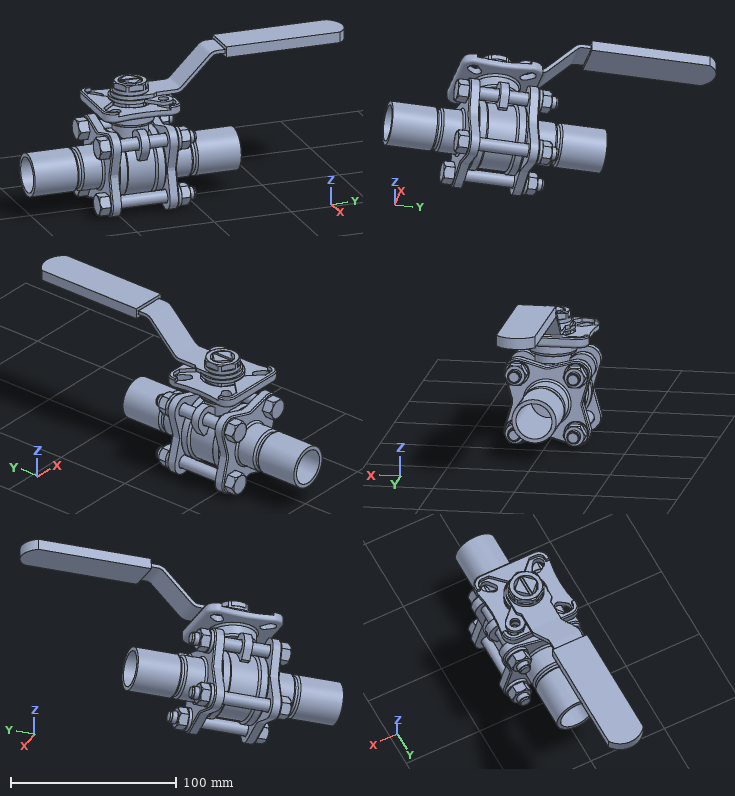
import cadquery as cq
import math


overall_width = 53.0
overall_length = 204.3
overall_height = 96.8

pipe_diameter = 27.2
pipe_bore = 22.0
pipe_end_y = 66.8
groove_diameter = 24.5
groove_outer_y = 39.0
groove_inner_y = 35.0
groove_taper = 1.2
hub_flare = 1.2

flange_inner_y = 15.7
flange_thickness = 6.1
flange_outer_y = flange_inner_y + flange_thickness
flange_half = overall_width / 2
flange_waist = 21.9
flange_waist_half = 0.92
flange_chamfer = 0.8

core_diameter = 40.2
core_ring_diameter = 43.5
core_ring_outer_y = 14.5
core_ring_inner_y = 10.0
core_ring_taper = 1.2

bolt_spacing = 18.2
bolt_diameter = 8.0
bolt_hole = 8.5
bolt_end_y = 33.3
bolt_tip_diameter = 6.5
bolt_tip_length = 1.2
hex_corner_diameter = 14.0
head_height = 6.7
nut_height = 6.1
hex_chamfer = 1.0
bolt_washer_diameter = 14.7
bolt_washer_thickness = 2.0
lobe_radius = flange_half - bolt_spacing

ear_half_width = 2.7
ear_foot_z = 8.0
ear_flank_angle = 33.7

neck_diameter = 22.0
neck_flare_height = 1.0
neck_flare_width = 0.6
collar_diameter = 29.0
collar_bottom_z = 27.0
collar_chamfer_height = 1.5
collar_chamfer_width = 0.6
collar_top_z = 34.1
collar_flare = 1.0

plate_bottom_z = 35.5
plate_top_z = 42.0
plate_floor_z = 39.6
plate_width = 50.5
plate_corner_radius = 7.0
plate_waist = 23.3
plate_bottom_fillet = 1.8
plate_top_chamfer = 0.8
rim_width = 2.9
wedge_offset = 8.5
counterbore_diameter = 27.0
counterbore_floor_z = 38.0
slot_outer_place = 17.8
slot_outer_radius = 3.5
slot_inner_place = 15.0
slot_inner_radius = 2.9

hex_flats = 20.0
hex_round_diameter = 22.0

stem_top_z = 53.1
stem_diameter = 14.0
stem_flats = 11.0
stem_slot_width = 1.6
stem_slot_depth = 1.2

lock_diameter = 27.0
lock_bottom_z = 41.7
lock_tab_place = 15.5
lock_tab_radius = 6.0
lock_tab_hole = 6.1

lever_bottom_z = 44.0
lever_thickness = 2.5
lever_width = 19.8
lever_head_diameter = 24.5
lever_head_half_width = 12.0
lever_nose_half_width = 1.95
lever_shoulder_low_y = 10.6
lever_shoulder_high_y = 13.3
lever_bend_y = 27.8
lever_bend_radius = 5.0
lever_end_y = 129.1

grip_start_y = 57.6
grip_end_y = overall_length - pipe_end_y
grip_top_z = overall_height - flange_half
grip_side_end_y = 131.2
grip_half_width = 11.8
grip_wall = 2.2

stem_nut_bore = 14.7
stem_nut_collar_height = 2.5
stem_nut_top_z = 52.7
stem_nut_chamfer_height = 0.6

plate_half = plate_width / 2
plate_corner_place = plate_half - plate_corner_radius
waist_gap = plate_waist - plate_corner_place
hollow_radius = (waist_gap ** 2 + plate_corner_place ** 2 - plate_corner_radius ** 2) / (
    2 * (plate_corner_radius - waist_gap)
)
hollow_place = plate_waist + hollow_radius
rim_end_y = plate_corner_place * hollow_radius / (hollow_radius + plate_corner_radius)

lever_top_z = lever_bottom_z + lever_thickness
lever_upper_z = grip_top_z - grip_wall
lever_rise = lever_upper_z - lever_top_z
lever_half_width = lever_width / 2


def cylinder_z(diameter, bottom, top):
    return cq.Workplane("XY").workplane(offset=bottom).circle(diameter / 2).extrude(top - bottom)


def cylinder_y(diameter, start, end):
    """Cylinder along Y from start to end, both measured in +Y."""
    return cq.Workplane("XZ", origin=(0, start, 0)).circle(diameter / 2).extrude(start - end)


def turned_y(points):
    """Solid of revolution about Y from (radius, y) points."""
    return cq.Workplane("XY").polyline(points).close().revolve(360, (0, 0, 0), (0, 1, 0))


def turned_z(points):
    """Solid of revolution about Z from (radius, z) points."""
    return cq.Workplane("XZ").polyline(points).close().revolve(360, (0, 0, 0), (0, 1, 0))


def quarter_turned(point, quarter):
    """Point turned about the origin by a number of quarter turns."""
    x, y = point
    for _ in range(quarter):
        x, y = -y, x
    return (x, y)


def lobed_outline(sketch, centre, radius, waist, waist_half):
    """Closed outline of four corner arcs joined by sides drawn in to a waist.

    Each side has a short flat at the waist and runs straight from it to touch the corner arcs.
    """
    along = centre - waist_half
    across = waist - centre
    lean = math.asin(radius / math.hypot(across, along)) - math.atan2(across, along)

    def arc_point(angle):
        return (centre + radius * math.cos(angle), centre + radius * math.sin(angle))

    arc_start = arc_point(-lean)
    arc_middle = arc_point(math.pi / 4)
    arc_end = arc_point(math.pi / 2 + lean)
    sketch = sketch.moveTo(waist, -waist_half)
    for quarter in range(4):
        sketch = sketch.lineTo(*quarter_turned((waist, waist_half), quarter))
        sketch = sketch.lineTo(*quarter_turned(arc_start, quarter))
        sketch = sketch.threePointArc(quarter_turned(arc_middle, quarter), quarter_turned(arc_end, quarter))
        if quarter < 3:
            sketch = sketch.lineTo(*quarter_turned((waist_half, waist), quarter))
    return sketch.close()


def flatted_hex(bottom, top):
    """Round blank along Z with six flats, two of them facing +X and -X."""
    blank = cylinder_z(hex_round_diameter, bottom, top)
    corner_diameter = hex_flats / math.cos(math.pi / 6)
    prism = cq.Workplane("XY").workplane(offset=bottom).polygon(6, corner_diameter).extrude(top - bottom)
    return blank.intersect(prism.rotate((0, 0, 0), (0, 0, 1), 30))


def stem_bar(bottom, top):
    """Stem along Z: a square bar with its corners turned round, facing the diagonals."""
    square = cq.Workplane("XY").workplane(offset=bottom).rect(stem_flats, stem_flats).extrude(top - bottom)
    return square.rotate((0, 0, 0), (0, 0, 1), 45).intersect(cylinder_z(stem_diameter, bottom, top))


def pipe_run():
    """Pipe end on the -Y side, with its groove and the flare where it meets the flange."""
    outer = pipe_diameter / 2
    groove = groove_diameter / 2
    points = [
        (0, -flange_inner_y),
        (outer + hub_flare, -flange_inner_y),
        (outer + hub_flare, -flange_outer_y),
        (outer, -flange_outer_y - hub_flare),
        (outer, -groove_inner_y),
        (groove, -groove_inner_y - groove_taper),
        (groove, -groove_outer_y + groove_taper),
        (outer, -groove_outer_y),
        (outer, -pipe_end_y),
        (0, -pipe_end_y),
    ]
    return turned_y(points)


def flange_plate():
    """Four-lobed flange on the -Y side with its bolt holes."""
    outline = lobed_outline(
        cq.Workplane("XZ", origin=(0, -flange_inner_y, 0)),
        bolt_spacing,
        lobe_radius,
        flange_waist,
        flange_waist_half,
    )
    plate = outline.extrude(flange_thickness)
    plate = plate.faces("<Y").chamfer(flange_chamfer)
    return plate.cut(
        cq.Workplane("XZ", origin=(0, -flange_inner_y, 0))
        .rect(2 * bolt_spacing, 2 * bolt_spacing, forConstruction=True)
        .vertices()
        .circle(bolt_hole / 2)
        .extrude(flange_thickness)
    )


def end_piece():
    return flange_plate().union(pipe_run()).cut(cylinder_y(pipe_bore, -pipe_end_y, -flange_inner_y))


def core():
    """Middle of the body between the flanges, with a raised ring near each end."""
    core_radius = core_diameter / 2
    ring_radius = core_ring_diameter / 2
    half = [
        (core_radius, core_ring_inner_y - core_ring_taper),
        (ring_radius, core_ring_inner_y),
        (ring_radius, core_ring_outer_y),
        (core_radius, core_ring_outer_y),
        (core_radius, flange_inner_y),
    ]
    other_half = [(radius, -y) for radius, y in reversed(half)]
    return turned_y([(0, -flange_inner_y)] + other_half + half + [(0, flange_inner_y)])


def ear():
    """Ear round the upper bolt on the +X side, with a flank down to the core and one up to the neck."""
    angle = math.radians(ear_flank_angle)
    leave_x = bolt_spacing + lobe_radius * math.cos(angle)
    leave_z = bolt_spacing - lobe_radius * math.sin(angle)
    foot_x = leave_x - (leave_z - ear_foot_z) * math.tan(angle)
    web = cq.Workplane("XZ", origin=(0, ear_half_width, 0)).polyline([
        (bolt_spacing, bolt_spacing),
        (leave_x, leave_z),
        (foot_x, ear_foot_z),
        (ear_foot_z, ear_foot_z),
        (ear_foot_z, foot_x),
        (leave_z, leave_x),
    ]).close().extrude(2 * ear_half_width)
    lobe = cylinder_y(2 * lobe_radius, -ear_half_width, ear_half_width)
    hole = cylinder_y(bolt_hole, -ear_half_width, ear_half_width)
    offset = (bolt_spacing, 0, bolt_spacing)
    return web.union(lobe.translate(offset)).cut(hole.translate(offset))


def hex_block(start, end, chamfered_end):
    """Hexagon along Y with corners at +X and -X and a turned chamfer at one end."""
    inner_end = start + end - chamfered_end
    step = math.copysign(hex_chamfer, inner_end - chamfered_end)
    radius = hex_corner_diameter / 2
    prism = cq.Workplane("XZ", origin=(0, start, 0)).polygon(6, hex_corner_diameter).extrude(start - end)
    turned = turned_y([
        (0, chamfered_end),
        (radius - hex_chamfer, chamfered_end),
        (radius, chamfered_end + step),
        (radius, inner_end),
        (0, inner_end),
    ])
    return prism.intersect(turned)


def bolt():
    """Bolt along Y with its head on the -Y side and its washer and nut on the +Y side."""
    washer_end = flange_outer_y + bolt_washer_thickness
    head = hex_block(-flange_outer_y - head_height, -flange_outer_y, -flange_outer_y - head_height)
    shank = cylinder_y(bolt_diameter, -flange_outer_y, bolt_end_y)
    tip = cylinder_y(bolt_tip_diameter, bolt_end_y, bolt_end_y + bolt_tip_length)
    washer = cylinder_y(bolt_washer_diameter, flange_outer_y, washer_end)
    nut = hex_block(washer_end, washer_end + nut_height, washer_end + nut_height)
    return head.union(shank).union(tip).union(washer).union(nut)


def bonnet():
    """Neck and collar that carry the mounting plate."""
    neck = neck_diameter / 2
    collar = collar_diameter / 2
    return turned_z([
        (0, 0),
        (neck, 0),
        (neck, collar_bottom_z - neck_flare_height),
        (neck + neck_flare_width, collar_bottom_z),
        (collar - collar_chamfer_width, collar_bottom_z),
        (collar, collar_bottom_z + collar_chamfer_height),
        (collar, collar_top_z),
        (collar + collar_flare, plate_bottom_z),
        (0, plate_bottom_z),
    ])


def corner_slot():
    """Mounting slot on the +X +Y diagonal, wider at its outer end."""
    outer = slot_outer_place * math.sqrt(2)
    inner = slot_inner_place * math.sqrt(2)
    angle = math.acos((slot_inner_radius - slot_outer_radius) / (outer - inner))
    outer_touch = (outer + slot_outer_radius * math.cos(angle), slot_outer_radius * math.sin(angle))
    inner_touch = (inner + slot_inner_radius * math.cos(angle), slot_inner_radius * math.sin(angle))
    slot = (
        cq.Workplane("XY", origin=(0, 0, plate_bottom_z))
        .moveTo(*outer_touch)
        .threePointArc((outer + slot_outer_radius, 0), (outer_touch[0], -outer_touch[1]))
        .lineTo(inner_touch[0], -inner_touch[1])
        .threePointArc((inner - slot_inner_radius, 0), inner_touch)
        .close()
        .extrude(plate_top_z - plate_bottom_z)
    )
    return slot.rotate((0, 0, 0), (0, 0, 1), 45)


def plate_recess():
    """Shallow recess in the top of the plate, open at the sides, between two wedges left at full height."""
    depth = plate_top_z - plate_floor_z
    floor = cq.Workplane("XY", origin=(0, 0, plate_floor_z))
    rim_inside = plate_half - rim_width
    inside = floor.rect(2 * rim_inside, 2 * rim_inside).extrude(depth)
    inside = inside.edges("|Z").fillet(plate_corner_radius - rim_width)
    through = floor.rect(2 * plate_half, 2 * rim_end_y).extrude(depth)
    between_wedges = floor.polyline([
        (0, wedge_offset),
        (plate_half, plate_half + wedge_offset),
        (plate_half, -plate_half - wedge_offset),
        (0, -wedge_offset),
        (-plate_half, -plate_half - wedge_offset),
        (-plate_half, plate_half + wedge_offset),
    ]).close().extrude(depth)
    return inside.union(through).intersect(between_wedges)


def mounting_plate():
    height = plate_top_z - plate_bottom_z
    level = cq.Workplane("XY", origin=(0, 0, plate_bottom_z))
    plate = level.rect(2 * plate_half, 2 * plate_half).extrude(height)
    plate = plate.edges("|Z").fillet(plate_corner_radius)
    for side in (-1, 1):
        plate = plate.cut(level.center(side * hollow_place, 0).circle(hollow_radius).extrude(height))
    plate = plate.faces("<Z").edges().fillet(plate_bottom_fillet)
    plate = plate.faces(">Z").edges().chamfer(plate_top_chamfer)
    plate = plate.cut(plate_recess())
    plate = plate.cut(cylinder_z(counterbore_diameter, counterbore_floor_z, plate_top_z))
    slot = corner_slot()
    for quarter in range(4):
        plate = plate.cut(slot.rotate((0, 0, 0), (0, 0, 1), 90 * quarter))
    return plate


def stem():
    """Stem standing out of the plate, with a screwdriver slot in its end."""
    slot = (
        cq.Workplane("XY", origin=(0, 0, stem_top_z - stem_slot_depth))
        .rect(stem_slot_width, stem_diameter)
        .extrude(stem_slot_depth)
    )
    return stem_bar(counterbore_floor_z, stem_top_z).cut(slot)


def valve_body():
    end = end_piece()
    upper_ear = ear()
    shape = core().union(end).union(end.mirror("XZ"))
    shape = shape.union(bonnet()).union(mounting_plate())
    shape = shape.union(upper_ear).union(upper_ear.mirror("YZ"))
    bolt_axes = [(x, z) for x in (-bolt_spacing, bolt_spacing) for z in (-bolt_spacing, bolt_spacing)]
    clearance = cylinder_y(bolt_hole, -flange_inner_y, flange_inner_y)
    for x, z in bolt_axes:
        shape = shape.cut(clearance.translate((x, 0, z)))
    for x, z in bolt_axes:
        shape = shape.union(bolt().translate((x, 0, z)))
    packing_nut = flatted_hex(counterbore_floor_z, lock_bottom_z)
    return shape.union(packing_nut).union(stem())


def lock_plate():
    thickness = lever_bottom_z - lock_bottom_z
    level = cq.Workplane("XY", origin=(0, 0, lock_bottom_z))
    reach = lock_tab_place * math.sqrt(2)
    tab = level.center(reach / 2, 0).rect(reach, 2 * lock_tab_radius).extrude(thickness)
    tab_end = level.center(reach, 0).circle(lock_tab_radius).extrude(thickness)
    hole = level.center(reach, 0).circle(lock_tab_hole / 2).extrude(thickness)
    tab = tab.union(tab_end).cut(hole).rotate((0, 0, 0), (0, 0, 1), 45)
    washer = cylinder_z(lock_diameter, lock_bottom_z, lever_bottom_z)
    return washer.union(tab).cut(stem_bar(lock_bottom_z, lever_bottom_z))


def lever():
    """Cranked side profile, trimmed to the plan outline of the head and the handle."""
    inner = lever_bend_radius
    outer = lever_bend_radius + lever_thickness
    shift = lever_thickness * math.tan(math.pi / 8)
    upper_bend_y = lever_bend_y + lever_rise
    head_radius = lever_head_diameter / 2
    nose_y = -math.sqrt(head_radius ** 2 - lever_nose_half_width ** 2)
    strip = cq.Workplane("YZ", origin=(-head_radius, 0, 0)).polyline([
        (nose_y, lever_bottom_z),
        (lever_bend_y + shift, lever_bottom_z),
        (upper_bend_y + shift, lever_upper_z - lever_thickness),
        (lever_end_y, lever_upper_z - lever_thickness),
        (lever_end_y, lever_upper_z),
        (upper_bend_y, lever_upper_z),
        (lever_bend_y, lever_top_z),
        (nose_y, lever_top_z),
    ]).close().extrude(lever_head_diameter)

    def bend(shape, y, z, radius):
        return shape.edges(cq.selectors.NearestToPointSelector((0, y, z))).fillet(radius)

    strip = bend(strip, lever_bend_y, lever_top_z, inner)
    strip = bend(strip, lever_bend_y + shift, lever_bottom_z, outer)
    strip = bend(strip, upper_bend_y + shift, lever_upper_z - lever_thickness, inner)
    strip = bend(strip, upper_bend_y, lever_upper_z, outer)

    height = lever_upper_z - lever_bottom_z
    straight_end_y = -math.sqrt(head_radius ** 2 - lever_head_half_width ** 2)
    arc_middle = head_radius / math.sqrt(2)
    plan = (
        cq.Workplane("XY", origin=(0, 0, lever_bottom_z))
        .moveTo(lever_half_width, lever_end_y)
        .lineTo(lever_half_width, lever_shoulder_high_y)
        .lineTo(lever_head_half_width, lever_shoulder_low_y)
        .lineTo(lever_head_half_width, straight_end_y)
        .threePointArc((arc_middle, -arc_middle), (lever_nose_half_width, nose_y))
        .lineTo(-lever_nose_half_width, nose_y)
        .threePointArc((-arc_middle, -arc_middle), (-lever_head_half_width, straight_end_y))
        .lineTo(-lever_head_half_width, lever_shoulder_low_y)
        .lineTo(-lever_half_width, lever_shoulder_high_y)
        .lineTo(-lever_half_width, lever_end_y)
        .close()
        .extrude(height)
    )
    return strip.intersect(plan).cut(stem_bar(lever_bottom_z, lever_top_z))


def grip():
    height = lever_thickness + 2 * grip_wall
    sleeve = (
        cq.Workplane("XY", origin=(0, 0, grip_top_z - height))
        .moveTo(-grip_half_width, grip_start_y)
        .lineTo(grip_half_width, grip_start_y)
        .lineTo(grip_half_width, grip_side_end_y)
        .threePointArc((0, grip_end_y), (-grip_half_width, grip_side_end_y))
        .close()
        .extrude(height)
    )
    pocket = cq.Workplane("XY").box(
        2 * lever_half_width, lever_end_y - grip_start_y, lever_thickness, centered=(True, False, False)
    )
    return sleeve.cut(pocket.translate((0, grip_start_y, lever_upper_z - lever_thickness)))


def stem_nut():
    collar_top = lever_top_z + stem_nut_collar_height
    collar = cylinder_z(hex_round_diameter, lever_top_z, collar_top)
    rim = hex_round_diameter / 2
    crown = turned_z([
        (0, collar_top),
        (rim, collar_top),
        (rim, stem_nut_top_z - stem_nut_chamfer_height),
        (hex_flats / 2, stem_nut_top_z),
        (0, stem_nut_top_z),
    ])
    nut = collar.union(flatted_hex(collar_top, stem_nut_top_z).intersect(crown))
    return nut.cut(cylinder_z(stem_nut_bore, lever_top_z, stem_nut_top_z))


result = cq.Compound.makeCompound([
    valve_body().val(),
    lock_plate().val(),
    lever().val(),
    grip().val(),
    stem_nut().val(),
])